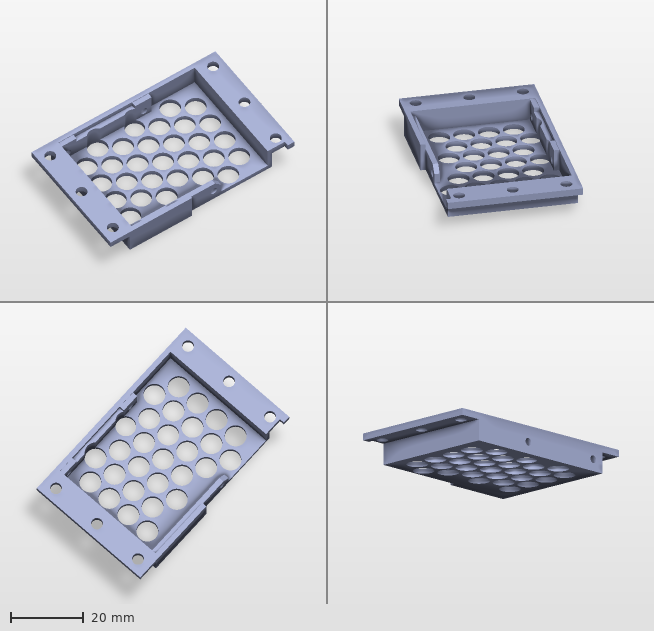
import cadquery as cq
import math

width = 38.2
length = 61.5
height = 8.0
flange_thickness = 1.95

wall = 1.5
floor_thickness = 1.5
cavity_length = 45.65
tray_length = cavity_length + 2 * wall
cavity_width = width - 2 * wall
cavity_half_width = cavity_width / 2
cavity_front = -cavity_length / 2

opening_back = 28.55
opening_front = -3.5

screw_diameter = 3.25
screw_pitch = 15.1
screw_row_y = 27.25

vent_diameter = 6.0
vent_pitch = 7.0
vent_row_pitch = vent_pitch * math.sqrt(3) / 2
small_vent_diameter = 5.7
small_vent_x = -13.85
small_vent_y = 0.1
four_vent_row = (-1.5, 4)
vent_rows = {
    3: four_vent_row,
    2: (-2, 5),
    1: four_vent_row,
    0: (-1, 3),
    -1: four_vent_row,
    -2: (-2, 4),
    -3: four_vent_row,
}

rail_width = 1.55
rail_back = 7.3
rail_top = height - 1.55
rail_chamfer = 2.1
post_top = height - 0.2
pin_diameter = 2.2
pin_z = 3.4
back_pin_y = 4.8
left_front_pin_y = -20.7
right_front_pin_y = -16.35
post_half_length = 2.95


def block(x_range, y_range, z_range):
    """Axis-aligned box between the given limits."""
    size = [high - low for low, high in (x_range, y_range, z_range)]
    corner = (x_range[0], y_range[0], z_range[0])
    return cq.Workplane("XY").box(*size, centered=False).translate(corner)


def upright_cylinders(diameter, centres):
    """Cutters running through the full height."""
    return cq.Workplane("XY").pushPoints(centres).circle(diameter / 2).extrude(height)


def make_tray():
    tray = cq.Workplane("XY").box(width, tray_length, height, centered=(True, True, False))
    flange = (
        cq.Workplane("XY")
        .workplane(offset=height - flange_thickness)
        .rect(width, length)
        .extrude(flange_thickness)
    )
    cavity = (
        cq.Workplane("XY")
        .workplane(offset=floor_thickness)
        .rect(cavity_width, cavity_length)
        .extrude(height)
    )
    opening = block((cavity_half_width, width), (opening_front, opening_back), (0, height))
    return tray.union(flange).cut(cavity).cut(opening)


def make_right_rail():
    """Plain rail on the +X side, bevelled at its free end."""
    rail = block(
        (cavity_half_width - rail_width, cavity_half_width),
        (cavity_front, rail_back),
        (floor_thickness, rail_top),
    )
    return rail.edges(">Y and >Z").chamfer(rail_chamfer)


def make_left_rail():
    """Rail on the -X side, with a taller post around each pin hole."""
    x_range = (-cavity_half_width, rail_width - cavity_half_width)
    y_range = (cavity_front, rail_back)
    gap = (left_front_pin_y + post_half_length, back_pin_y - post_half_length)
    posts = block(x_range, y_range, (floor_thickness, post_top))
    return posts.cut(block(x_range, gap, (rail_top, height)))


def make_vents():
    centres = [
        ((first + index) * vent_pitch, row * vent_row_pitch)
        for row, (first, count) in vent_rows.items()
        for index in range(count)
    ]
    vents = upright_cylinders(vent_diameter, centres)
    return vents.union(upright_cylinders(small_vent_diameter, [(small_vent_x, small_vent_y)]))


def make_screw_holes():
    centres = [
        (column * screw_pitch, side * screw_row_y)
        for column in (-1, 0, 1)
        for side in (-1, 1)
    ]
    return upright_cylinders(screw_diameter, centres)


def pin_holes(start_x, depth, y_positions):
    """Cutters running in +X from the given plane."""
    return (
        cq.Workplane("YZ", origin=(start_x, 0, 0))
        .pushPoints([(y, pin_z) for y in y_positions])
        .circle(pin_diameter / 2)
        .extrude(depth)
    )


def make_pin_holes():
    """Holes through the -X wall and its rail, and through the +X rail up to its wall."""
    left_holes = pin_holes(-width / 2, wall + rail_width, (back_pin_y, left_front_pin_y))
    right_holes = pin_holes(
        cavity_half_width - rail_width, rail_width, (back_pin_y, right_front_pin_y)
    )
    return left_holes.union(right_holes)


result = (
    make_tray()
    .union(make_right_rail())
    .union(make_left_rail())
    .cut(make_vents())
    .cut(make_screw_holes())
    .cut(make_pin_holes())
)